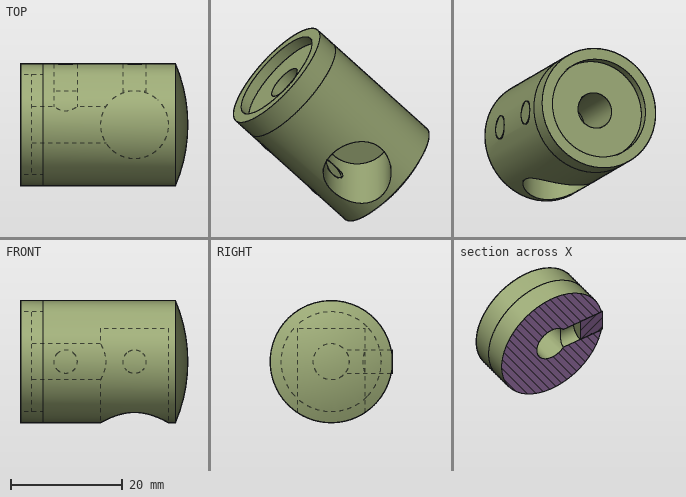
import cadquery as cq

outer_diameter = 22.0
outer_radius = outer_diameter / 2
overall_length = 30.1
dome_height = 2.25
shoulder_x = overall_length - dome_height

ring_length = 4.0
spigot_diameter = 18.0
recess_depth = 2.0

stud_bore_diameter = 6.5
bar_bore_diameter = 12.2
bar_bore_radius = bar_bore_diameter / 2
bar_bore_x = 20.5
bar_bore_top_z = 6.0

screw_diameter = 4.2
screw_positions_x = [8.1, bar_bore_x]
screw_length = outer_radius - bar_bore_radius


def rod_along_x(diameter, start_x, end_x):
    """Round rod centred on the X axis."""
    return cq.Workplane("YZ").workplane(offset=start_x).circle(diameter / 2).extrude(end_x - start_x)


def rod_along_y(diameter, x, start_y, end_y):
    """Round rod parallel to Y, at height Z = 0."""
    plane = cq.Plane(origin=(x, start_y, 0), xDir=(1, 0, 0), normal=(0, 1, 0))
    return cq.Workplane(plane).circle(diameter / 2).extrude(end_y - start_y)


def make_end_ring():
    """Plain ring, longer than the spigot inside it so that its open end forms a shallow recess."""
    ring = rod_along_x(outer_diameter, 0, ring_length)
    return ring.cut(rod_along_x(spigot_diameter, 0, ring_length))


def make_domed_blank():
    """Solid of revolution about X: spigot, cylinder and spherical dome."""
    dome_radius = (outer_radius**2 + dome_height**2) / (2 * dome_height)
    dome_centre_x = overall_length - dome_radius
    dome_mid_height = outer_radius / 2
    dome_mid_x = dome_centre_x + (dome_radius**2 - dome_mid_height**2) ** 0.5
    profile = (
        cq.Workplane("XY")
        .moveTo(recess_depth, 0)
        .lineTo(recess_depth, spigot_diameter / 2)
        .lineTo(ring_length, spigot_diameter / 2)
        .lineTo(ring_length, outer_radius)
        .lineTo(shoulder_x, outer_radius)
        .threePointArc((dome_mid_x, dome_mid_height), (overall_length, 0))
        .close()
    )
    return profile.revolve(360, (0, 0, 0), (1, 0, 0))


def make_bar_bore():
    """Blind vertical bore, open on the -Z side."""
    bore_depth = bar_bore_top_z + outer_radius
    return (
        cq.Workplane("XY", origin=(bar_bore_x, 0, -outer_radius))
        .circle(bar_bore_radius)
        .extrude(bore_depth)
    )


def make_housing():
    """Domed body with its spigot, the stud bore, the bar bore and the two screw holes that meet them."""
    stud_bore = rod_along_x(stud_bore_diameter, recess_depth, bar_bore_x)
    housing = make_domed_blank().cut(stud_bore).cut(make_bar_bore())
    for x in screw_positions_x:
        housing = housing.cut(rod_along_y(screw_diameter, x, 0, outer_radius))
    return housing


def make_set_screw(x):
    """Plain flat-ended screw; its outer face is tangent to the housing surface."""
    return rod_along_y(screw_diameter, x, outer_radius - screw_length, outer_radius)


end_ring = make_end_ring()
housing = make_housing()
set_screws = [make_set_screw(x) for x in screw_positions_x]

result = cq.Compound.makeCompound(
    [end_ring.val(), housing.val(), *[screw.val() for screw in set_screws]]
)